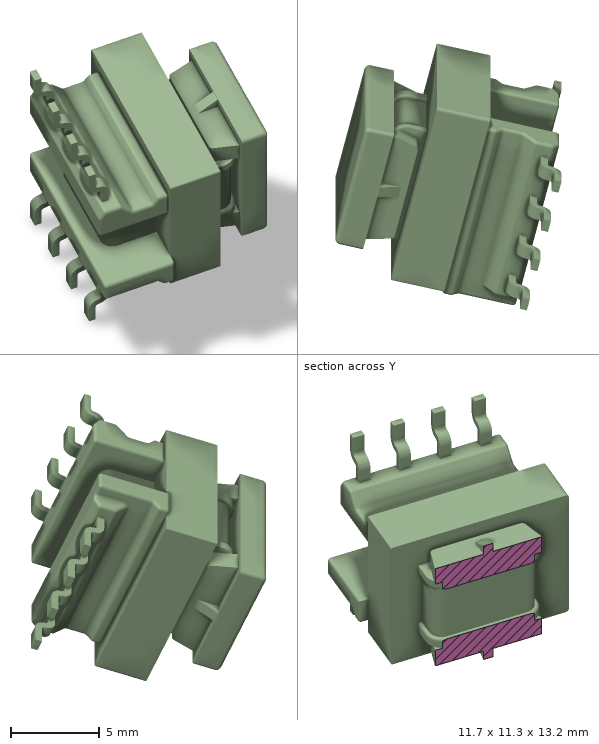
import cadquery as cq
import math

OVERLAP = 0.13

core_left, core_right = -5.95, 5.2
core_depth = 3.1
body_height = 8.66
core_left_radius = 0.2
core_right_radius = 0.09

winding_half_width = 3.25
winding_front, winding_back = -3.18, 4.87
winding_radius = 0.76
winding_height = 3.63

edge_radius = 0.18
flange_half_width = 4.96
flange_front = -4.3
flange_inner_z = winding_height / 2
bump_z = 3.46
groove_z = 3.03
tooth_z = 3.83
bump_end_y = -0.6
groove_start_y, groove_end_y = -1.0, -2.18
tooth_start_y, tooth_end_y = -2.92, -3.95
tooth_corner_z = 3.32
tab_right = 5.75

pin_count = 4
pin_pitch = 2.54
pin_width = 0.71
pin_thickness = 0.41
pin_tip_y = -4.59
pin_root_y = -3.38
pin_tip_z = 6.58
pin_bend_z = 4.67
pin_bend_radius = 0.2
pin_bend_angle = math.radians(82)

back_flange_half_width = 3.5
back_flange_z = 2.43

plate_front, plate_back = 5.09, 6.75
plate_half_width = 3.74
plate_side_radius = 0.2
plate_back_radius = 0.29
wedge_z = 3.62
wedge_base_half_width = 3.37
wedge_tip_half_width = 2.92
wedge_tip_y = 3.46
wedge_tip_radius = 0.26
rib_width = 0.63
rib_tip_y = 3.85
rib_top_z = 4.28


def box(x_range, y_range, z_range):
    """Box given by its lower and upper limits along each axis."""
    size = [high - low for low, high in (x_range, y_range, z_range)]
    corner = (x_range[0], y_range[0], z_range[0])
    return cq.Workplane("XY").box(*size, centered=False).translate(corner)


def side_prism(points, x_start, x_end):
    """Prism along X over a closed outline of (y, z) points."""
    outline = cq.Workplane("YZ", origin=(x_start, 0, 0)).polyline(points).close()
    return outline.extrude(x_end - x_start)


def mirrored_down(solid):
    return solid.mirror("XY")


def make_core():
    core = box((core_left, core_right), (0, core_depth), (-body_height / 2, body_height / 2))
    core = core.edges("|Y and <X").fillet(core_left_radius)
    return core.edges("|Y and >X").fillet(core_right_radius)


def make_winding():
    half_height = winding_height / 2 + OVERLAP
    winding = box(
        (-winding_half_width, winding_half_width),
        (winding_front, winding_back),
        (-half_height, half_height),
    )
    return winding.edges("|Z").fillet(winding_radius)


def make_pin_flange():
    """Upper flange: a bump by the core, a groove, and a tooth that holds the pins."""
    outline = [
        (0, flange_inner_z),
        (0, bump_z),
        (bump_end_y, bump_z),
        (groove_start_y, groove_z),
        (groove_end_y, groove_z),
        (tooth_start_y, tooth_z),
        (tooth_end_y, tooth_z),
        (flange_front, tooth_corner_z),
        (flange_front, flange_inner_z),
    ]
    return side_prism(outline, -flange_half_width, flange_half_width)


def make_end_tab():
    """Tab on the +X end of a flange: same outline, but without the tooth."""
    outline = [
        (0, flange_inner_z),
        (0, bump_z),
        (bump_end_y, bump_z),
        (groove_start_y, groove_z),
        (flange_front, groove_z),
        (flange_front, flange_inner_z),
    ]
    return side_prism(outline, 0, tab_right)


def round_flange(flange):
    """Round every edge except the inner one against the core."""
    core_side_edges = flange.faces("<Z").edges(">Y").vals()
    edges = [edge for edge in flange.edges().vals() if not any(map(edge.isSame, core_side_edges))]
    return flange.newObject(edges).fillet(edge_radius)


def make_pin():
    """Upper pin: rises from the flange, jogs forward in an S-bend, and rises again."""
    mid_radius = pin_bend_radius + pin_thickness / 2
    root_mid_y = pin_root_y - pin_thickness / 2
    jog = pin_root_y - pin_tip_y - pin_thickness
    arc_forward = mid_radius * (1 - math.cos(pin_bend_angle))
    arc_rise = mid_radius * math.sin(pin_bend_angle)
    slope_forward = jog - 2 * arc_forward
    slope_rise = slope_forward / math.tan(pin_bend_angle)
    path = (
        cq.Workplane("YZ")
        .moveTo(root_mid_y, tooth_z - OVERLAP)
        .lineTo(root_mid_y, pin_bend_z)
        .tangentArcPoint((-arc_forward, arc_rise))
        .line(-slope_forward, slope_rise)
        .tangentArcPoint((-arc_forward, arc_rise))
        .lineTo(root_mid_y - jog, pin_tip_z)
    )
    section = cq.Workplane("XY", origin=(0, root_mid_y, tooth_z - OVERLAP))
    return section.rect(pin_width, pin_thickness).sweep(path)


def make_back_flange():
    """Upper plate behind the core, its corners concentric with the winding's."""
    flange = box(
        (-back_flange_half_width, back_flange_half_width),
        (core_depth - OVERLAP, plate_front),
        (winding_height / 2, back_flange_z),
    )
    corner_radius = winding_radius + back_flange_half_width - winding_half_width
    flange = flange.edges("|Z and >Y").fillet(corner_radius)
    return flange.faces("<Z").edges("not <Y").fillet(edge_radius)


def make_back_plate():
    plate = box(
        (-plate_half_width, plate_half_width),
        (plate_front, plate_back),
        (-body_height / 2, body_height / 2),
    )
    plate = plate.edges("|Y").fillet(plate_side_radius)
    return plate.faces(">Y").edges().fillet(plate_back_radius)


def make_wedge():
    """Upper locking wedge: a block tapering toward the core, with a central rib."""
    wedge = (
        cq.Workplane("XY", origin=(0, 0, back_flange_z))
        .polyline([
            (-wedge_base_half_width, plate_front),
            (-wedge_tip_half_width, wedge_tip_y),
            (wedge_tip_half_width, wedge_tip_y),
            (wedge_base_half_width, plate_front),
        ])
        .close()
        .extrude(wedge_z - back_flange_z)
        .edges("|Z and <Y")
        .fillet(wedge_tip_radius)
    )
    rib_outline = [(plate_front, wedge_z), (plate_front, rib_top_z), (rib_tip_y, wedge_z)]
    return wedge.union(side_prism(rib_outline, -rib_width / 2, rib_width / 2))


upper_flange = round_flange(make_pin_flange())
lower_flange = mirrored_down(round_flange(make_pin_flange().union(make_end_tab())))

result = make_core().union(make_winding()).union(make_back_plate())
result = result.union(upper_flange).union(lower_flange)

for upper_piece in (make_back_flange(), make_wedge()):
    result = result.union(upper_piece).union(mirrored_down(upper_piece))

for index in range(pin_count):
    pin_x = (index - (pin_count - 1) / 2) * pin_pitch
    pin = make_pin().translate((pin_x, 0, 0))
    result = result.union(pin).union(mirrored_down(pin))